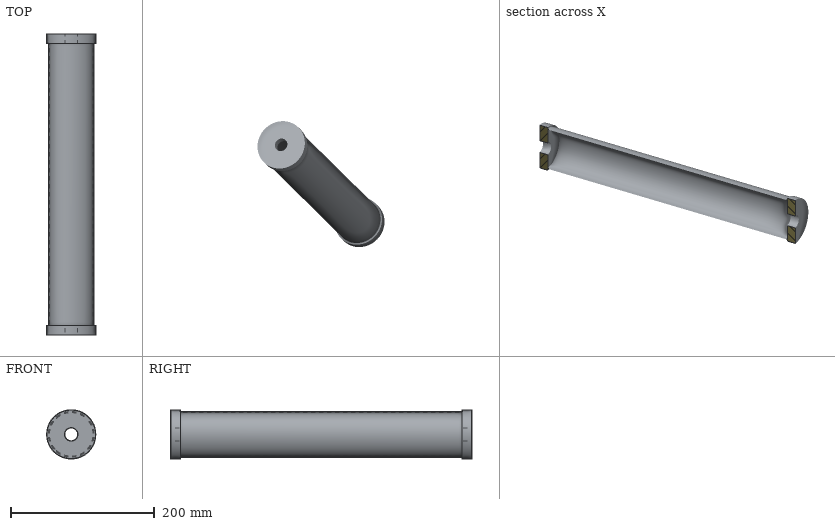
import cadquery as cq

total_length = 419.0
cap_diameter = 68.5
cap_length = 13.5
cap_hole_diameter = 18.0
tube_outer_diameter = 63.5
tube_inner_diameter = 60.8

tube_length = total_length - 2 * cap_length


def make_ring(outer_diameter, inner_diameter, length, start_y):
    """Hollow cylinder along +Y, beginning at start_y."""
    return (
        cq.Workplane("XZ", origin=(0, start_y, 0))
        .circle(outer_diameter / 2)
        .circle(inner_diameter / 2)
        .extrude(-length)
    )


def make_tube():
    """Thin-walled tube between the two end caps."""
    return make_ring(tube_outer_diameter, tube_inner_diameter, tube_length, -tube_length / 2)


def make_end_cap(start_y):
    """Flat disc with a central through hole, closing one end of the tube."""
    return make_ring(cap_diameter, cap_hole_diameter, cap_length, start_y)


tube = make_tube()

end_caps = []
for cap_start_y in (-total_length / 2, tube_length / 2):
    end_caps.append(make_end_cap(cap_start_y).val())

result = cq.Compound.makeCompound([tube.val(), *end_caps])